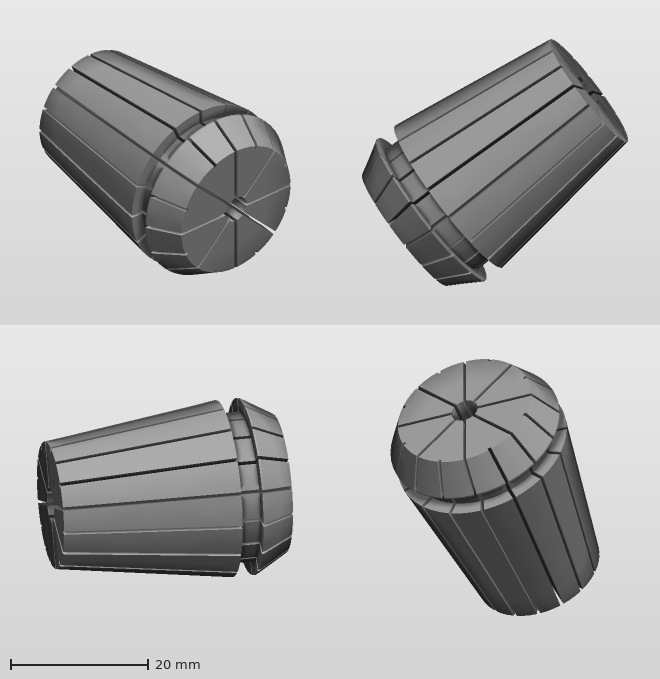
import cadquery as cq
import math

LENGTH = 34.0
MAX_RADIUS = 13.0
TAPER_ANGLE = 8.0
NUT_CONE_ANGLE = 30.0

GROOVE_START = 25.9
GROOVE_WIDTH = 3.1
GROOVE_RADIUS = 11.0
COLLAR_WIDTH = 0.25

BORE_RADIUS = 2.0
RELIEF_RADIUS = 2.5
RELIEF_DEPTH = 18.0

SLOT_WIDTH = 0.5
SLOTS_PER_END = 8
SLOT_PITCH = 360.0 / SLOTS_PER_END

REAR_BLADE_RADIUS = 20.0
REAR_SLOT_BOTTOM = 0.4
REAR_SLOT_RUNOUT = 8.65
FRONT_BLADE_RADIUS = 40.0
FRONT_SLOT_BOTTOM = -0.25
FRONT_SLOT_RUNOUT = 9.85

CUT_MARGIN = 1.0

GROOVE_END = GROOVE_START + GROOVE_WIDTH
COLLAR_END = GROOVE_END + COLLAR_WIDTH
FRONT_RADIUS = MAX_RADIUS - GROOVE_START * math.tan(math.radians(TAPER_ANGLE))
REAR_RADIUS = MAX_RADIUS - (LENGTH - COLLAR_END) * math.tan(math.radians(NUT_CONE_ANGLE))


def make_body():
    """Turned blank: half profile (x, radius) revolved about the X axis."""
    profile = [
        (0, BORE_RADIUS),
        (0, FRONT_RADIUS),
        (GROOVE_START, MAX_RADIUS),
        (GROOVE_START, GROOVE_RADIUS),
        (GROOVE_END, GROOVE_RADIUS),
        (GROOVE_END, MAX_RADIUS),
        (COLLAR_END, MAX_RADIUS),
        (LENGTH, REAR_RADIUS),
        (LENGTH, BORE_RADIUS),
    ]
    return cq.Workplane("XY").polyline(profile).close().revolve(360, (0, 0, 0), (1, 0, 0))


def make_relief():
    """Wider bore entering from the front face."""
    return cq.Workplane("YZ").circle(RELIEF_RADIUS).extrude(RELIEF_DEPTH)


def make_slot(blade_radius, bottom, runout):
    """Slot cutter open at x = LENGTH, its floor curving outward to the runout at x = 0."""
    center_height = blade_radius + bottom
    end_angle = math.acos((center_height - runout) / blade_radius)
    center_x = blade_radius * math.sin(end_angle)
    half_angle = end_angle / 2
    arc_middle = (
        center_x - blade_radius * math.sin(half_angle),
        center_height - blade_radius * math.cos(half_angle),
    )
    top = MAX_RADIUS + CUT_MARGIN
    return (
        cq.Workplane("XY")
        .moveTo(0, top)
        .lineTo(0, runout)
        .threePointArc(arc_middle, (center_x, bottom))
        .lineTo(LENGTH, bottom)
        .lineTo(LENGTH, top)
        .close()
        .extrude(SLOT_WIDTH / 2, both=True)
    )


def cut_slots(body, slot, first_angle):
    """Cut the slot all round the axis at equal pitch."""
    for index in range(SLOTS_PER_END):
        angle = first_angle + index * SLOT_PITCH
        body = body.cut(slot.rotate((0, 0, 0), (1, 0, 0), angle))
    return body


rear_slot = make_slot(REAR_BLADE_RADIUS, REAR_SLOT_BOTTOM, REAR_SLOT_RUNOUT)
front_slot = make_slot(FRONT_BLADE_RADIUS, FRONT_SLOT_BOTTOM, FRONT_SLOT_RUNOUT)
front_slot = front_slot.mirror("YZ").translate((LENGTH, 0, 0))

result = make_body().cut(make_relief())
result = cut_slots(result, rear_slot, 0)
result = cut_slots(result, front_slot, SLOT_PITCH / 2)